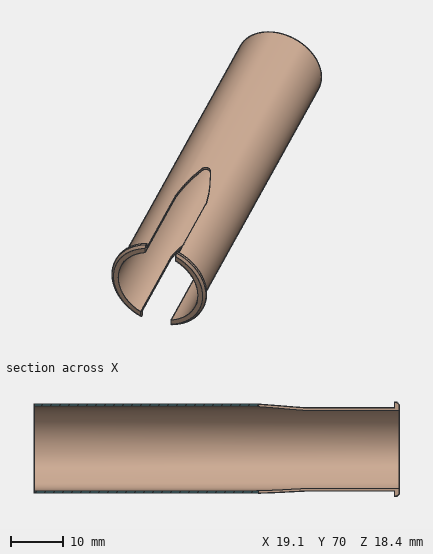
import cadquery as cq

length = 70.0
bore_diameter = 16.2
tube_diameter = 17.15
flange_diameter = 19.1
flange_thickness = 1.0
flange_chamfer = 0.5

slot_half_width = 3.1
slot_shift = 0.455
slot_straight_length = 17.8
slot_length = 27.1
flank_middle_half_width = 2.1
flank_middle_y = 22.7
tip_half_width = 0.85
tip_start_y = 26.45


def cylinder(diameter, height):
    """Cylinder along +Y, starting at the flange face."""
    return cq.Workplane("XZ").circle(diameter / 2).extrude(-height)


def slot_cutter(center_x, depth):
    """Pointed slot with curved flanks and a rounded tip, cut from the axis along Z."""
    return (
        cq.Workplane("XY")
        .moveTo(center_x - slot_half_width, 0)
        .lineTo(center_x - slot_half_width, slot_straight_length)
        .threePointArc(
            (center_x - flank_middle_half_width, flank_middle_y),
            (center_x - tip_half_width, tip_start_y),
        )
        .threePointArc((center_x, slot_length), (center_x + tip_half_width, tip_start_y))
        .threePointArc(
            (center_x + flank_middle_half_width, flank_middle_y),
            (center_x + slot_half_width, slot_straight_length),
        )
        .lineTo(center_x + slot_half_width, 0)
        .close()
        .extrude(depth)
    )


flange = cylinder(flange_diameter, flange_thickness).faces("<Y").edges().chamfer(flange_chamfer)
sleeve = cylinder(tube_diameter, length).union(flange).cut(cylinder(bore_diameter, length))

for side in (1, -1):
    sleeve = sleeve.cut(slot_cutter(side * slot_shift, side * flange_diameter))

result = sleeve